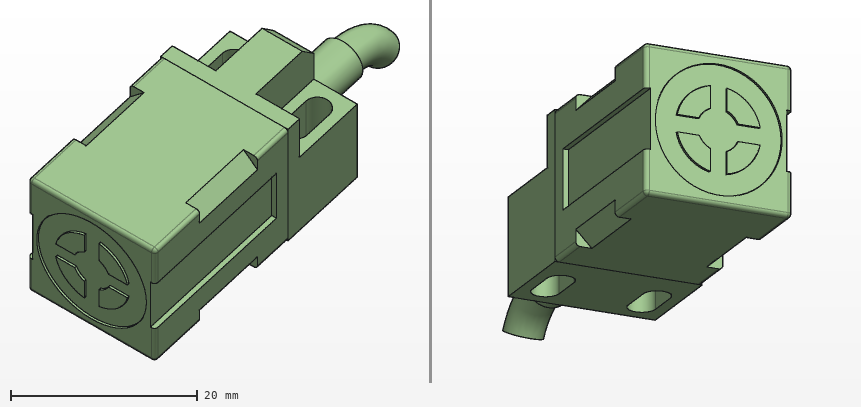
import cadquery as cq
import math


width = 17.4
half_width = width / 2
case_length = 23.0
base_length = 12.0
seam_y = case_length
base_rear_y = seam_y + base_length

edge_radius = 0.5
side_recess_width = 7.0
side_recess_depth = 0.65
side_recess_length = case_length - 2.0
notch_length = 10.0
notch_chamfer = 1.9
notch_start_y = 7.7

face_radius = 7.5
face_depth = 0.3
sector_outer_radius = 5.0
sector_inner_radius = 2.5
sector_gap = 2.0

shoulder_length = 10.0
shoulder_drop = 6.0
shoulder_height = width - shoulder_drop
rib_width = 5.5
rib_chamfer = 2.0
slot_width = 3.2
slot_length = 7.0
slot_x = half_width - 3.0
slot_y = base_rear_y - shoulder_length / 2

cable_z = shoulder_height / 2
sleeve_diameter = 5.5
sleeve_length = 8.5
sleeve_rear_y = base_rear_y + sleeve_length
cable_radius = 2.25
cable_reach = 8.35
bend_radius = 7.4
bend_angle = math.asin(cable_reach / (bend_radius + cable_radius))


def block(size_x, y_front, length, z_bottom, height):
    """Box centred on X = 0."""
    return (
        cq.Workplane("XY")
        .box(size_x, length, height, centered=(True, False, False))
        .translate((0, y_front, z_bottom))
    )


def face_disc(radius):
    """Disc as deep as the sensing face recess, with its front in the plane Y = 0."""
    return (
        cq.Workplane("XZ", origin=(0, 0, half_width))
        .circle(radius)
        .extrude(-face_depth)
    )


def face_sectors():
    """Four ring sectors left between the arms of a cross."""
    upright_arm = block(sector_gap, 0, face_depth, 0, width)
    level_arm = block(width, 0, face_depth, half_width - sector_gap / 2, sector_gap)
    ring = face_disc(sector_outer_radius).cut(face_disc(sector_inner_radius))
    return ring.cut(upright_arm).cut(level_arm)


def corner_notch(side_x, side_z):
    """Triangular prism that cuts a short 45 degree chamfer into one long edge."""
    corner_x = side_x * half_width
    corner_z = half_width + side_z * half_width
    return (
        cq.Workplane("XZ", origin=(0, notch_start_y, 0))
        .moveTo(corner_x, corner_z)
        .lineTo(corner_x - side_x * notch_chamfer, corner_z)
        .lineTo(corner_x, corner_z - side_z * notch_chamfer)
        .close()
        .extrude(-notch_length)
    )


def make_case():
    case = block(width, 0, case_length, 0, width)
    case = case.edges("|Y or <Y").fillet(edge_radius)

    recess_bottom_z = half_width - side_recess_width / 2
    for side_x in (-1, 1):
        recess = block(2 * side_recess_depth, 0, side_recess_length, recess_bottom_z, side_recess_width)
        case = case.cut(recess.translate((side_x * half_width, 0, 0)))
        for side_z in (-1, 1):
            case = case.cut(corner_notch(side_x, side_z))

    face_recess = face_disc(face_radius).cut(face_sectors())
    return case.cut(face_recess)


def make_base():
    collar = block(width, seam_y, base_length - shoulder_length, 0, width)
    shoulder = block(width, seam_y, base_length, 0, shoulder_height)
    rib = block(rib_width, seam_y, base_length, 0, width)
    rib = rib.edges(">Y and >Z").chamfer(rib_chamfer)

    slots = (
        cq.Workplane("XY")
        .pushPoints([(-slot_x, slot_y), (slot_x, slot_y)])
        .slot2D(slot_length, slot_width, angle=90)
        .extrude(shoulder_height)
    )
    return collar.union(shoulder).union(rib).cut(slots)


def make_cable():
    sleeve = (
        cq.Workplane("XZ", origin=(0, base_rear_y, cable_z))
        .circle(sleeve_diameter / 2)
        .extrude(-sleeve_length)
    )
    bend = (
        cq.Workplane("XZ", origin=(0, sleeve_rear_y, cable_z))
        .circle(cable_radius)
        .revolve(math.degrees(bend_angle), (0, -bend_radius, 0), (-1, -bend_radius, 0))
    )
    return sleeve.union(bend)


case = make_case()
base = make_base()
cable = make_cable()

result = cq.Compound.makeCompound([case.val(), base.val(), cable.val()])